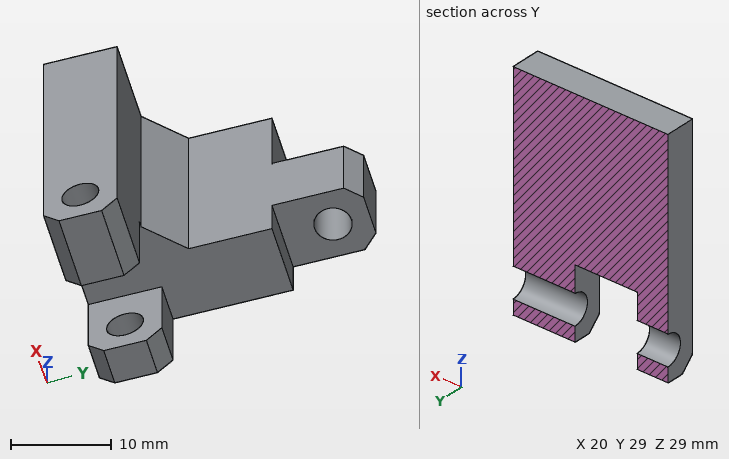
import cadquery as cq

body_size = 20.0
wall = 7.6
clearance = 0.4
knuckle_length = 9.0
tab_center = 8.0
hole_diameter = wall / 2
tip_chamfer = 1.6

total_length = body_size + knuckle_length
slot_width = wall + clearance
inner_chamfer = wall / 2
pin_offset = wall / 2


def make_body():
    """L-shaped corner block with a bevelled inner corner, above the fork."""
    return (
        cq.Workplane("XY", origin=(0, 0, knuckle_length))
        .moveTo(0, 0)
        .lineTo(body_size, 0)
        .lineTo(body_size, wall)
        .lineTo(wall + inner_chamfer, wall)
        .lineTo(wall, wall + inner_chamfer)
        .lineTo(wall, body_size)
        .lineTo(0, body_size)
        .close()
        .extrude(body_size)
    )


def make_fork():
    """Two-pronged knuckle below the X wall, drilled along X."""
    fork = (
        cq.Workplane("XY")
        .box(body_size, wall, knuckle_length, centered=False)
        .faces("<Z")
        .edges("|X")
        .chamfer(tip_chamfer)
    )
    slot = (
        cq.Workplane("XY")
        .box(slot_width, wall, knuckle_length, centered=False)
        .translate((tab_center - slot_width / 2, 0, 0))
    )
    hole = (
        cq.Workplane("YZ")
        .center(pin_offset, pin_offset)
        .circle(hole_diameter / 2)
        .extrude(body_size)
    )
    return fork.cut(slot).cut(hole)


def make_tab():
    """Single knuckle at the +Y end of the Y wall, drilled along Z."""
    tab_bottom = knuckle_length + tab_center - wall / 2
    tab = (
        cq.Workplane("XY")
        .box(wall, knuckle_length, wall, centered=False)
        .translate((0, body_size, tab_bottom))
        .faces(">Y")
        .edges("|Z")
        .chamfer(tip_chamfer)
    )
    hole = (
        cq.Workplane("XY", origin=(0, 0, tab_bottom))
        .center(pin_offset, total_length - pin_offset)
        .circle(hole_diameter / 2)
        .extrude(wall)
    )
    return tab.cut(hole)


result = make_body().union(make_fork()).union(make_tab())